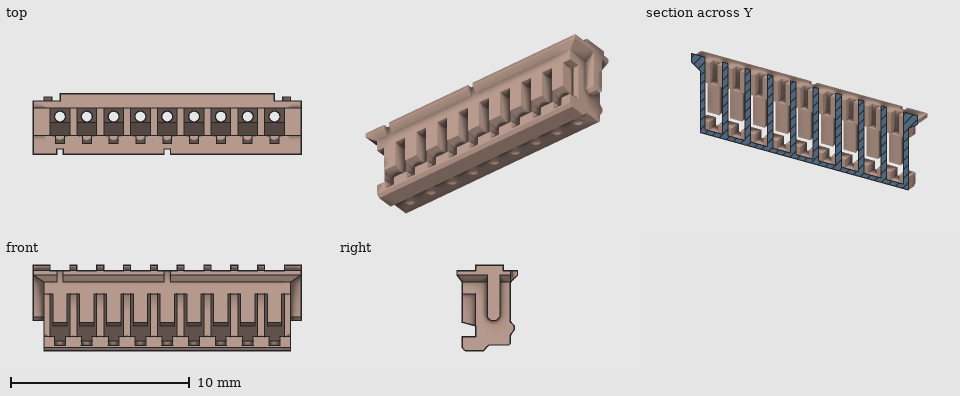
import cadquery as cq

PITCH = 1.5
CONTACT_COUNT = 9
CONTACT_XS = [(i - (CONTACT_COUNT - 1) / 2) * PITCH for i in range(CONTACT_COUNT)]

BODY_LENGTH = 13.8
BODY_FRONT = -1.4
BODY_BACK = 1.3
FLOOR_UNDERSIDE = 0.32
FOOT_BACK_TOP = 0.1
FOOT_BACK_BOTTOM = -0.2
HEEL_SAG = 0.025
FOOT_CHAMFER = 0.18
BACK_CHAMFER = 0.12

TOTAL_LENGTH = 15.0
FLANGE_FRONT = -1.7
FLANGE_BACK = 1.7
FLANGE_TOP = 4.5
FLANGE_EDGE_BOTTOM = 4.25
FLANGE_TAPER_BOTTOM = 3.85
BACK_FLANGE_LENGTH = 12.0
FLANGE_NOTCH_XS = (-6.0, 0.0)
FLANGE_NOTCH_WIDTH = 0.34

CAVITY_WIDTH = 1.1
CAVITY_FRONT = -0.65
CAVITY_BACK = 0.9
DIVIDER_TOP = 4.8
SHELF_NOTCH_FLOOR = 0.3
RAMP_BOTTOM = SHELF_NOTCH_FLOOR
RAMP_BACK = 0.1
CAVITY_FLOOR = 0.55
HOLE_DIAMETER = 0.6
HOLE_Y = 0.42
KEYWAY_WIDTH = 0.5
KEYWAY_DEPTH_Y = 0.45

WINDOW_BOTTOM = 0.8
WINDOW_TOP = 3.2
TONGUE_WIDTH = 0.8
TONGUE_BOTTOM_FRONT = 1.6
TONGUE_BOTTOM_BACK = 1.4
SHELF_NOTCH_WIDTH = 0.6

RIB_FRONT = 0.0
RIB_BACK = 0.7
RIB_BOTTOM = 1.7
RIB_CHAMFER = 0.2

BUMP_BACK = 1.52
BUMP_WIDTH = 0.45
BUMP_ROOT_TOP = 1.63
BUMP_TIP_TOP = 1.4
BUMP_TIP_BOTTOM = 1.2
BUMP_ROOT_BOTTOM = 0.88


def box(x_range, y_range, z_range):
    """Axis-aligned block between the given limits."""
    lows, highs = zip(x_range, y_range, z_range)
    sizes = [high - low for low, high in zip(lows, highs)]
    return cq.Workplane("XY").box(*sizes, centered=False).translate(lows)


def span(center, width):
    """Limits of a width centred on a position."""
    return (center - width / 2, center + width / 2)


def profile_along_x(points, center_x, length):
    """Prism with a (Y, Z) outline, centred on center_x."""
    prism = cq.Workplane("YZ").polyline(points).close().extrude(length / 2, both=True)
    return prism.translate((center_x, 0, 0))


def make_body():
    """Long body whose foot meets the rear underside in a hollow curve."""
    outline = (
        cq.Workplane("YZ")
        .moveTo(FOOT_BACK_TOP, FLOOR_UNDERSIDE)
        .sagittaArc((FOOT_BACK_BOTTOM, 0), -HEEL_SAG)
        .lineTo(BODY_FRONT + FOOT_CHAMFER, 0)
        .lineTo(BODY_FRONT, FOOT_CHAMFER)
        .lineTo(BODY_FRONT, FLANGE_TOP)
        .lineTo(BODY_BACK, FLANGE_TOP)
        .lineTo(BODY_BACK, FLOOR_UNDERSIDE + BACK_CHAMFER)
        .lineTo(BODY_BACK - BACK_CHAMFER, FLOOR_UNDERSIDE)
        .close()
    )
    return outline.extrude(BODY_LENGTH / 2, both=True)


def make_flange():
    """Rim tapering down to the body on the front and ends, with a lip on the back."""
    rim_y = (FLANGE_FRONT, BODY_BACK)
    rim = box(span(0, TOTAL_LENGTH), rim_y, (FLANGE_EDGE_BOTTOM, FLANGE_TOP))
    taper = (
        cq.Workplane("XY", origin=(0, (BODY_FRONT + BODY_BACK) / 2, FLANGE_TAPER_BOTTOM))
        .rect(BODY_LENGTH, BODY_BACK - BODY_FRONT)
        .workplane(offset=FLANGE_EDGE_BOTTOM - FLANGE_TAPER_BOTTOM)
        .center(0, (FLANGE_FRONT - BODY_FRONT) / 2)
        .rect(TOTAL_LENGTH, BODY_BACK - FLANGE_FRONT)
        .loft(ruled=True)
    )
    lip_outline = [
        (BODY_BACK, FLANGE_TOP),
        (FLANGE_BACK, FLANGE_TOP),
        (FLANGE_BACK, FLANGE_EDGE_BOTTOM),
        (BODY_BACK, FLANGE_TAPER_BOTTOM),
    ]
    flange = rim.union(taper).union(profile_along_x(lip_outline, 0, BACK_FLANGE_LENGTH))
    for x in FLANGE_NOTCH_XS:
        notch_z = (FLANGE_TAPER_BOTTOM, FLANGE_TOP)
        flange = flange.cut(box(span(x, FLANGE_NOTCH_WIDTH), (FLANGE_FRONT, BODY_FRONT), notch_z))
    return flange


def make_divider_block():
    """Raised strip that the cavities split into dividers and end blocks."""
    return box(span(0, TOTAL_LENGTH), (CAVITY_FRONT, CAVITY_BACK), (FLANGE_TOP, DIVIDER_TOP))


def make_end_rib():
    """Guide rib on the -X end."""
    outline = [
        (RIB_FRONT, FLANGE_EDGE_BOTTOM),
        (RIB_FRONT, RIB_BOTTOM + RIB_CHAMFER),
        (RIB_FRONT + RIB_CHAMFER, RIB_BOTTOM),
        (RIB_BACK - RIB_CHAMFER, RIB_BOTTOM),
        (RIB_BACK, RIB_BOTTOM + RIB_CHAMFER),
        (RIB_BACK, FLANGE_EDGE_BOTTOM),
    ]
    rib_center = -(TOTAL_LENGTH + BODY_LENGTH) / 4
    return profile_along_x(outline, rib_center, (TOTAL_LENGTH - BODY_LENGTH) / 2)


def make_latch_bump():
    """Latch bump on the back, flush with the -X end."""
    outline = [
        (BODY_BACK, BUMP_ROOT_TOP),
        (BUMP_BACK, BUMP_TIP_TOP),
        (BUMP_BACK, BUMP_TIP_BOTTOM),
        (BODY_BACK, BUMP_ROOT_BOTTOM),
    ]
    return profile_along_x(outline, (BUMP_WIDTH - BODY_LENGTH) / 2, BUMP_WIDTH)


def make_front_window():
    return box(span(0, BODY_LENGTH), (BODY_FRONT, CAVITY_FRONT), (WINDOW_BOTTOM, WINDOW_TOP))


def make_tongue(x):
    outline = [
        (BODY_FRONT, WINDOW_TOP),
        (BODY_FRONT, TONGUE_BOTTOM_FRONT),
        (CAVITY_FRONT, TONGUE_BOTTOM_BACK),
        (CAVITY_FRONT, WINDOW_TOP),
    ]
    return profile_along_x(outline, x, TONGUE_WIDTH)


def make_contact_cut(x):
    """Cavity with a ramped floor, its keyway, wire hole and shelf notch."""
    cavity_outline = [
        (CAVITY_FRONT, DIVIDER_TOP),
        (CAVITY_FRONT, RAMP_BOTTOM),
        (RAMP_BACK, CAVITY_FLOOR),
        (CAVITY_BACK, CAVITY_FLOOR),
        (CAVITY_BACK, DIVIDER_TOP),
    ]
    cavity = profile_along_x(cavity_outline, x, CAVITY_WIDTH)
    keyway_y = (CAVITY_FRONT - KEYWAY_DEPTH_Y, CAVITY_FRONT)
    keyway = box(span(x, KEYWAY_WIDTH), keyway_y, (WINDOW_TOP, FLANGE_TOP))
    hole = cq.Workplane("XY").center(x, HOLE_Y).circle(HOLE_DIAMETER / 2).extrude(DIVIDER_TOP)
    shelf_notch_y = (BODY_FRONT, CAVITY_FRONT)
    shelf_notch = box(span(x, SHELF_NOTCH_WIDTH), shelf_notch_y, (SHELF_NOTCH_FLOOR, WINDOW_BOTTOM))
    return cavity.union(keyway).union(hole).union(shelf_notch)


housing = make_body().union(make_flange()).union(make_divider_block())
for end_feature in (make_end_rib(), make_latch_bump()):
    housing = housing.union(end_feature).union(end_feature.mirror("YZ"))

housing = housing.cut(make_front_window())
for contact_x in CONTACT_XS:
    housing = housing.union(make_tongue(contact_x))
    housing = housing.cut(make_contact_cut(contact_x))

result = housing